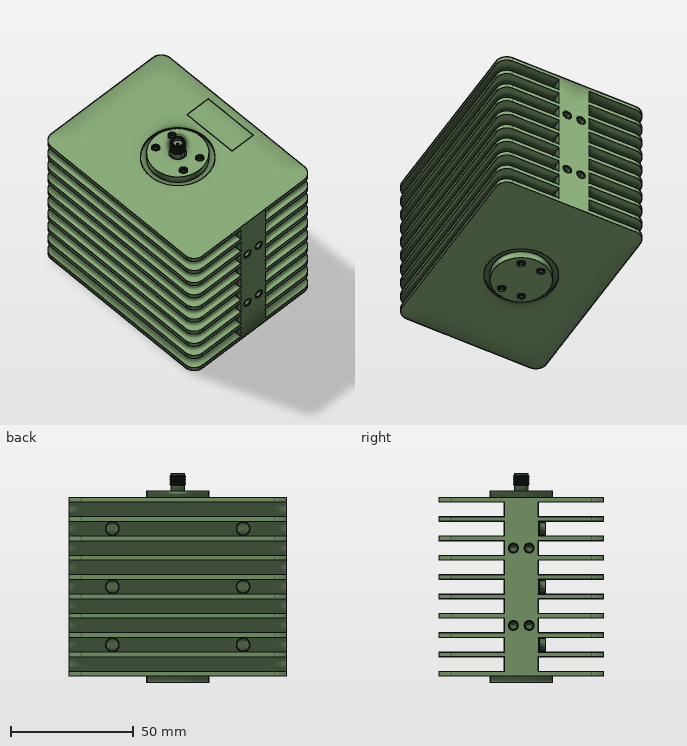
import cadquery as cq

body_width = 88.9
fin_depth = 67.3
body_height = 73.0
fin_count = 10
fin_thickness = 2.0
fin_corner_radius = 5.0
core_depth = 14.05
fin_pitch = (body_height - fin_thickness) / (fin_count - 1)

label_width = 26.5
label_depth = 12.0
label_y = 24.0
label_recess = 0.1

flange_diameter = 25.4
flange_projection = 2.6
pocket_diameter = 30.4
pocket_depth = 1.0

flange_screw_x = 8.2
flange_screw_y = 4.6
counterbore_diameter = 3.5
counterbore_depth = 1.8
flange_screw_head_diameter = 2.7
flange_screw_head_height = 1.4
flange_socket_diameter = 1.7
flange_socket_depth = 0.9

side_hole_y = 3.2
side_hole_gaps = (3, 7)
side_hole_diameter = 3.3
side_hole_countersink_diameter = 4.0
side_hole_depth = 8.0

clamp_screw_x = 26.7
clamp_screw_gaps = (2, 5, 8)
clamp_head_diameter = 5.2
clamp_head_height = 2.9
clamp_washer_diameter = 5.6
clamp_washer_thickness = 0.4

connector_height = 7.2
connector_diameter = 5.6
thread_diameter = 6.3
thread_start = 2.2
thread_pitch = 0.7
thread_turns = 6
connector_clearance_diameter = 7.1
connector_clearance_depth = 1.0
connector_bore_diameter = 4.2
connector_mouth_diameter = 4.7
connector_bore_depth = 1.7
contact_hole_diameter = 1.2
contact_hole_depth = 1.8

overlap = 0.45


def cylinder(diameter, z_start, z_end, x=0.0, y=0.0):
    """Upright cylinder between two heights."""
    return (
        cq.Workplane("XY", origin=(x, y, z_start))
        .circle(diameter / 2)
        .extrude(z_end - z_start)
    )


def gap_centre(gap):
    """Height of the middle of a gap between fins, with gaps counted from 1 at the bottom."""
    return fin_thickness / 2 + (gap - 0.5) * fin_pitch


def make_body():
    core = cq.Workplane("XY").box(body_width, core_depth, body_height, centered=(True, True, False))
    fin = (
        cq.Workplane("XY")
        .box(body_width, fin_depth, fin_thickness, centered=(True, True, False))
        .edges("|Z")
        .fillet(fin_corner_radius)
    )
    for index in range(fin_count):
        core = core.union(fin.translate((0, 0, index * fin_pitch)))
    label = cq.Workplane("XY", origin=(0, label_y, body_height)).rect(label_width, label_depth)
    return core.cut(label.extrude(-label_recess))


def add_top_flange(body):
    """Sink a round pocket in the top face and stand a flange with four sunk screws in it."""
    floor = body_height - pocket_depth
    face = body_height + flange_projection
    body = body.cut(cylinder(pocket_diameter, floor, body_height))
    body = body.union(cylinder(flange_diameter, floor - overlap, face))
    counterbore_floor = face - counterbore_depth
    head_top = counterbore_floor + flange_screw_head_height
    for x in (-flange_screw_x, flange_screw_x):
        for y in (-flange_screw_y, flange_screw_y):
            head = cylinder(flange_screw_head_diameter, counterbore_floor - overlap, head_top, x, y)
            socket = cylinder(flange_socket_diameter, head_top - flange_socket_depth, head_top, x, y)
            body = body.cut(cylinder(counterbore_diameter, counterbore_floor, face, x, y))
            body = body.union(head.cut(socket))
    return body


def add_flanges(body):
    """Fit the same flange to the top and, turned over, to the bottom."""
    middle = (0, 0, body_height / 2)
    turned = add_top_flange(body.rotate(middle, (1, 0, body_height / 2), 180))
    return add_top_flange(turned.rotate(middle, (1, 0, body_height / 2), 180))


def make_side_hole():
    """Cutter for one blind hole running toward +X from X = 0, with a countersunk mouth and conical end."""
    radius = side_hole_diameter / 2
    mouth_radius = side_hole_countersink_diameter / 2
    return (
        cq.Workplane("XY")
        .moveTo(0, 0)
        .lineTo(0, mouth_radius)
        .lineTo(mouth_radius - radius, radius)
        .lineTo(side_hole_depth, radius)
        .lineTo(side_hole_depth + radius, 0)
        .close()
        .revolve(360, (0, 0, 0), (1, 0, 0))
    )


def cut_side_holes(body):
    hole = make_side_hole()
    for gap in side_hole_gaps:
        for y in (-side_hole_y, side_hole_y):
            left_hole = hole.translate((-body_width / 2, y, gap_centre(gap)))
            body = body.cut(left_hole).cut(left_hole.mirror("YZ"))
    return body


def add_clamp_screws(body):
    core_face = core_depth / 2
    for gap in clamp_screw_gaps:
        for x in (-clamp_screw_x, clamp_screw_x):
            seat = cq.Workplane("XZ", origin=(x, core_face - overlap, gap_centre(gap)))
            head = seat.circle(clamp_head_diameter / 2).extrude(-(overlap + clamp_head_height))
            washer = seat.circle(clamp_washer_diameter / 2).extrude(-(overlap + clamp_washer_thickness))
            body = body.union(head).union(washer)
    return body


def make_connector():
    """Connector standing on Z = 0, with ring-shaped thread ridges and a bored top with a chamfered mouth."""
    root_radius = connector_diameter / 2
    crest_radius = thread_diameter / 2
    foot = -(connector_clearance_depth + overlap)
    outline = cq.Workplane("XZ").moveTo(0, foot).lineTo(root_radius, foot).lineTo(root_radius, thread_start)
    for turn in range(thread_turns):
        ridge_start = thread_start + turn * thread_pitch
        outline = outline.lineTo(crest_radius, ridge_start + thread_pitch / 2)
        outline = outline.lineTo(root_radius, ridge_start + thread_pitch)
    outline = outline.lineTo(root_radius, connector_height).lineTo(0, connector_height).close()
    connector = outline.revolve(360, (0, 0, 0), (0, 1, 0))
    bore_floor = connector_height - connector_bore_depth
    connector = connector.cut(cylinder(connector_bore_diameter, bore_floor, connector_height))
    mouth_chamfer = (connector_mouth_diameter - connector_bore_diameter) / 2
    bore_rim = connector.faces(">Z").edges(cq.selectors.RadiusNthSelector(0))
    connector = bore_rim.chamfer(mouth_chamfer)
    return connector.cut(cylinder(contact_hole_diameter, bore_floor - contact_hole_depth, bore_floor))


def add_connector(body):
    face = body_height + flange_projection
    body = body.cut(cylinder(connector_clearance_diameter, face - connector_clearance_depth, face))
    return body.union(make_connector().translate((0, 0, face)))


result = make_body()
result = add_flanges(result)
result = cut_side_holes(result)
result = add_clamp_screws(result)
result = add_connector(result)